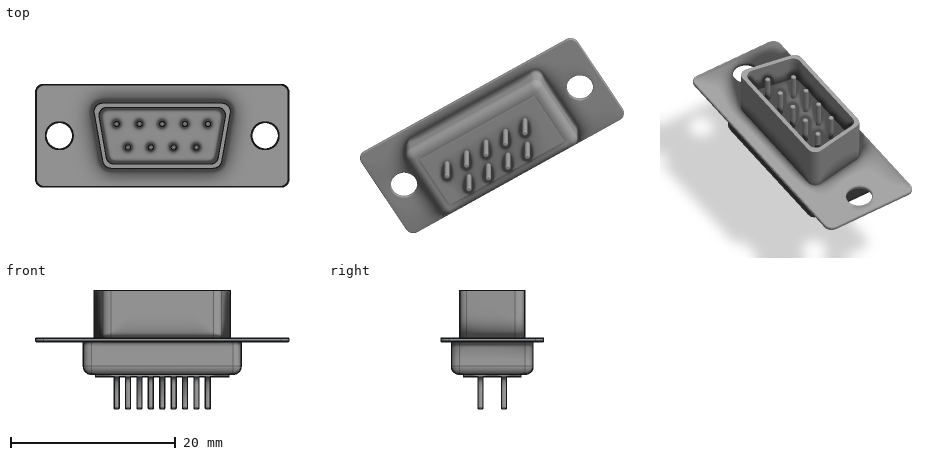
import cadquery as cq
import math

flange_length = 30.8
flange_width = 12.5
flange_thickness = 0.5
flange_corner_radius = 1.0
flange_edge_chamfer = 0.1
mount_hole_diameter = 3.2
mount_hole_spacing = 25.0

shell_height = 5.75
shell_depth = 7.9
shell_mid_width = 15.55
shell_side_angle = 10.0
shell_corner_radius = 1.0
shell_wall = 0.5
cavity_depth = 3.6

housing_length = 19.2
housing_width = 9.95
housing_height = 3.95
housing_radius = 1.0
rounding_clearance = 0.001
pad_length = 16.25
pad_width = 7.0
pad_thickness = 0.3

pin_diameter = 0.64
pin_tip_radius = 0.16
pin_pitch = 2.77
row_spacing = 2.84
back_row_count = 5
front_row_count = 4
pin_tail_length = 3.9
pin_height_in_cavity = 3.5

flange_top = flange_thickness
shell_top = flange_top + shell_height
cavity_floor = shell_top - cavity_depth
pad_bottom = -housing_height - pad_thickness
pin_bottom = pad_bottom - pin_tail_length
pin_top = cavity_floor + pin_height_in_cavity


def make_flange():
    plate = (
        cq.Workplane("XY")
        .rect(flange_length, flange_width)
        .extrude(flange_thickness)
        .edges("|Z")
        .fillet(flange_corner_radius)
    )
    return (
        plate.faces(">Z")
        .workplane()
        .pushPoints([(-mount_hole_spacing / 2, 0), (mount_hole_spacing / 2, 0)])
        .hole(mount_hole_diameter)
        .faces("<Z or >Z")
        .edges()
        .chamfer(flange_edge_chamfer)
    )


def make_d_prism(inset, corner_radius, bottom, top):
    """Rounded trapezoid prism, wide at +Y, offset inwards from the shell outline."""
    angle = math.radians(shell_side_angle)
    half_depth = shell_depth / 2 - inset
    half_mid = shell_mid_width / 2 - inset / math.cos(angle)
    taper = half_depth * math.tan(angle)
    half_wide = half_mid + taper
    half_narrow = half_mid - taper
    return (
        cq.Workplane("XY", origin=(0, 0, bottom))
        .polyline([
            (-half_wide, half_depth),
            (-half_narrow, -half_depth),
            (half_narrow, -half_depth),
            (half_wide, half_depth),
        ])
        .close()
        .extrude(top - bottom)
        .edges("|Z")
        .fillet(corner_radius)
    )


def make_housing():
    housing = (
        cq.Workplane("XY")
        .rect(housing_length, housing_width)
        .extrude(-housing_height)
        .edges("|Z")
        .fillet(housing_radius)
    )
    return housing.faces("<Z").edges().fillet(housing_radius - rounding_clearance)


def make_pad():
    return (
        cq.Workplane("XY", origin=(0, 0, -housing_height))
        .rect(pad_length, pad_width)
        .extrude(-pad_thickness)
    )


def make_pin_row(count, y):
    return (
        cq.Workplane("XY", origin=(0, y, pin_bottom))
        .rarray(pin_pitch, 1, count, 1)
        .circle(pin_diameter / 2)
        .extrude(pin_top - pin_bottom)
        .faces("<Z or >Z")
        .edges()
        .fillet(pin_tip_radius)
    )


shell = make_d_prism(0, shell_corner_radius, 0, shell_top)
cavity = make_d_prism(shell_wall, shell_corner_radius, cavity_floor, shell_top)

result = (
    make_flange()
    .union(shell)
    .union(make_housing())
    .union(make_pad())
    .cut(cavity)
    .union(make_pin_row(back_row_count, row_spacing / 2))
    .union(make_pin_row(front_row_count, -row_spacing / 2))
)